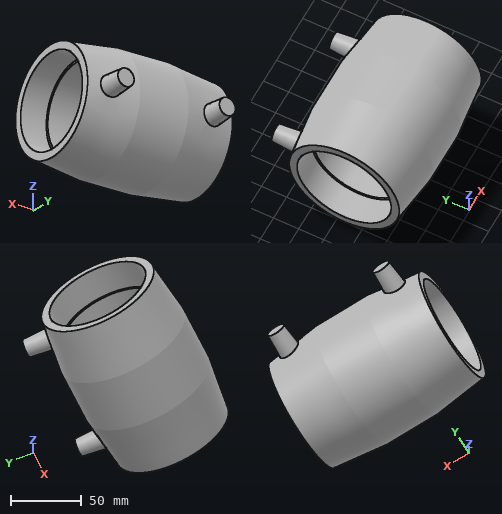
import cadquery as cq

length = 126.0
band_length = length / 3
band_diameter = 98.0
end_diameter = 87.8

socket_diameter = 75.0
shoulder_diameter = 71.2
socket_depth = 22.3

post_offset = 44.1
post_tip_y = 64.0
post_root_y = 40.3
post_tip_diameter = 14.1
post_root_diameter = 17.6


def sleeve_outside():
    """Solid barrel: cylindrical central band with a taper towards each end."""
    half_length = length / 2
    half_band = band_length / 2
    end_radius = end_diameter / 2
    band_radius = band_diameter / 2
    return (
        cq.Workplane("XY")
        .moveTo(-half_length, 0)
        .lineTo(-half_length, end_radius)
        .lineTo(-half_band, band_radius)
        .lineTo(half_band, band_radius)
        .lineTo(half_length, end_radius)
        .lineTo(half_length, 0)
        .close()
        .revolve(360, (0, 0, 0), (1, 0, 0))
    )


def terminal_post(x):
    """Tapered round post, rooted inside the sleeve wall."""
    return cq.Workplane(
        cq.Solid.makeCone(
            post_root_diameter / 2,
            post_tip_diameter / 2,
            post_tip_y - post_root_y,
            pnt=cq.Vector(x, post_root_y, 0),
            dir=cq.Vector(0, 1, 0),
        )
    )


def bore(diameter, start_x, depth):
    """Cylinder along X, used to hollow the sleeve."""
    return cq.Workplane("YZ", origin=(start_x, 0, 0)).circle(diameter / 2).extrude(depth)


result = sleeve_outside()
for side in (-1, 1):
    result = result.union(terminal_post(side * post_offset))

result = result.cut(bore(shoulder_diameter, -length / 2, length))
result = result.cut(bore(socket_diameter, -length / 2, socket_depth))
result = result.cut(bore(socket_diameter, length / 2 - socket_depth, socket_depth))